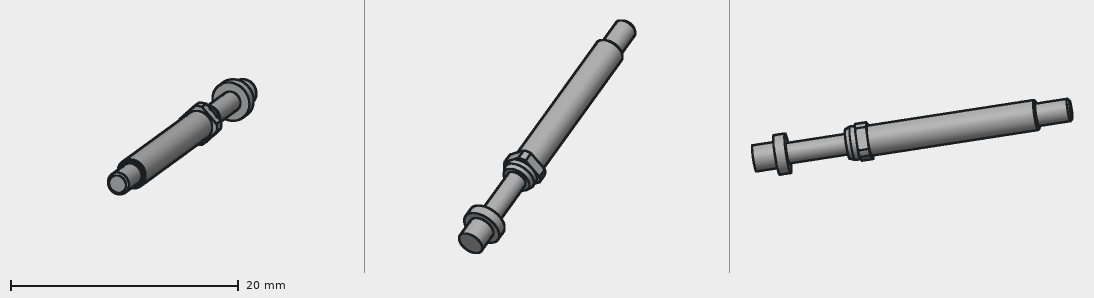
import cadquery as cq

total_length = 28.3
pin_length = 3.0
body_length = 15.0
wrench_length = 1.0
collar_length = 1.0
flange_length = 1.0
head_length = 2.0

pin_diameter = 2.0
body_diameter = 2.7
wrench_diameter = 3.6
across_flats = 3.0
collar_diameter = across_flats
stem_diameter = 1.85
flange_diameter = 3.55
head_diameter = 2.35

pin_chamfer = 0.2
body_chamfer = 0.15
collar_cone_length = 0.45
collar_cone_depth = 0.2

pin_start = -total_length / 2
body_start = pin_start + pin_length
wrench_start = body_start + body_length
collar_start = wrench_start + wrench_length
stem_start = collar_start + collar_length
head_start = total_length / 2 - head_length
flange_start = head_start - flange_length
stem_length = flange_start - stem_start


def section_plane(start):
    """Plane across the axis at Y = start, facing +Y, with its local x along +X."""
    return cq.Workplane(cq.Plane(origin=(0, start, 0), xDir=(1, 0, 0), normal=(0, 1, 0)))


def cylinder(start, length, diameter):
    return section_plane(start).circle(diameter / 2).extrude(length)


def make_pin():
    return cylinder(pin_start, pin_length, pin_diameter).faces("<Y").chamfer(pin_chamfer)


def make_body():
    return cylinder(body_start, body_length, body_diameter).faces("<Y").chamfer(body_chamfer)


def make_wrench_section():
    """Disc with four flats at 45 degrees, leaving rounded corners on X and Z."""
    disc = cylinder(wrench_start, wrench_length, wrench_diameter)
    square = (
        section_plane(wrench_start)
        .transformed(rotate=(0, 0, 45))
        .rect(across_flats, across_flats)
        .extrude(wrench_length)
    )
    return disc.intersect(square)


def make_collar():
    """Collar that narrows in a short cone towards the stem."""
    collar = cylinder(collar_start, collar_length, collar_diameter)
    return collar.faces(">Y").edges().chamfer(collar_cone_length, collar_cone_depth)


result = (
    make_body()
    .union(make_pin())
    .union(make_wrench_section())
    .union(make_collar())
    .union(cylinder(stem_start, stem_length, stem_diameter))
    .union(cylinder(flange_start, flange_length, flange_diameter))
    .union(cylinder(head_start, head_length, head_diameter))
)